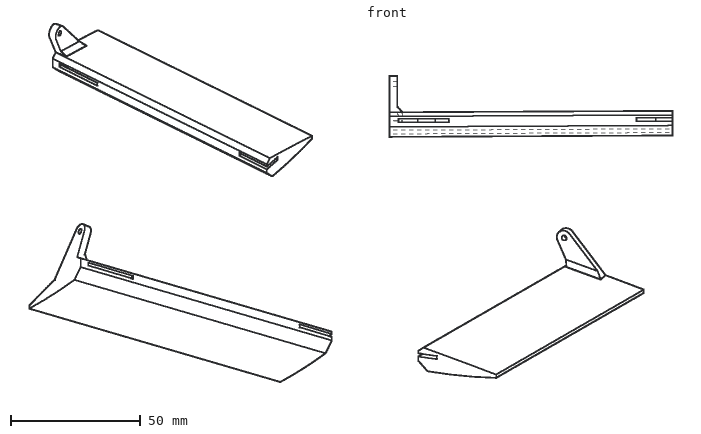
import cadquery as cq
import math

span = 109.0
sweep = 17.4
rise = 0.5
root_nose_y = sweep
chord = 32.4
tail_y = root_nose_y + chord
tail_bottom_z = 1.3
tail_top_z = 2.7
belly_mid_y = 33.8
belly_mid_z = 0.1
belly_end_y = 21.4
belly_end_z = 0.05
nose_bottom_z = 3.9
nose_top_z = 8.0
crest_y = 19.6
crest_z = 9.6
back_mid_y = 33.9
back_mid_z = 6.4

horn_thickness = 3.0
horn_radius = 3.0
horn_height = 23.5
horn_eye_y = 17.9
horn_eye_z = horn_height - horn_radius
horn_hole_diameter = 2.0
gusset_size = 2.0
gusset_depth = 2.2

pocket_starts = (3.4, 94.9)
pocket_length = 19.6
pocket_height = 1.3
pocket_straight = 1.3
pocket_taper = 6.4
pocket_root_z = 6.3
mouth_overrun = 1.1


def blade_section(x):
    """Closed blade outline in the plane at the given X."""
    dy = -sweep * x / span
    dz = rise * x / span

    def at(y, z):
        return (y + dy, z + dz)

    outline = (
        cq.Workplane("YZ", origin=(x, 0, 0))
        .moveTo(*at(tail_y, tail_bottom_z))
        .threePointArc(at(belly_mid_y, belly_mid_z), at(belly_end_y, belly_end_z))
        .lineTo(*at(root_nose_y, nose_bottom_z))
        .lineTo(*at(root_nose_y, nose_top_z))
        .lineTo(*at(crest_y, crest_z))
        .threePointArc(at(back_mid_y, back_mid_z), at(tail_y, tail_top_z))
        .close()
    )
    return outline.val()


def make_blade():
    return cq.Workplane(cq.Solid.makeLoft([blade_section(0), blade_section(span)], True))


def eye_tangent(y, z, side):
    """Point where a line from (y, z) touches the horn eye; side is +1 or -1."""
    distance = math.hypot(y - horn_eye_y, z - horn_eye_z)
    angle = math.atan2(z - horn_eye_z, y - horn_eye_y)
    angle += side * math.acos(horn_radius / distance)
    return (horn_eye_y + horn_radius * math.cos(angle), horn_eye_z + horn_radius * math.sin(angle))


def horn_prism(thickness):
    """Horn outline from the blade back up around the eye, extruded from the root."""
    return (
        cq.Workplane("YZ")
        .moveTo(crest_y, crest_z)
        .lineTo(*eye_tangent(crest_y, crest_z, -1))
        .threePointArc(
            (horn_eye_y, horn_height),
            eye_tangent(back_mid_y, back_mid_z, 1),
        )
        .lineTo(back_mid_y, back_mid_z)
        .lineTo(belly_mid_y, tail_top_z)
        .lineTo(crest_y, nose_bottom_z)
        .close()
        .extrude(thickness)
    )


def make_gusset():
    """45 degree web along the inner foot of the horn, following the blade back."""
    back_slope = (crest_z - back_mid_z) / (back_mid_y - crest_y)

    def gusset_profile(y, surface_z):
        x = horn_thickness
        return cq.Wire.makePolygon(
            [
                cq.Vector(x, y, surface_z + gusset_size),
                cq.Vector(x + gusset_size + gusset_depth, y, surface_z - gusset_depth),
                cq.Vector(x, y, surface_z - gusset_depth),
            ],
            close=True,
        )

    front = gusset_profile(crest_y - gusset_size, crest_z + back_slope * gusset_size)
    back = gusset_profile(back_mid_y + gusset_size, back_mid_z - back_slope * gusset_size)
    ridge = cq.Workplane(cq.Solid.makeLoft([front, back], True))
    return ridge.intersect(horn_prism(horn_thickness + gusset_size))


def make_pocket(start_x):
    """Hinge pocket square to the nose face: short end walls, then a 45 degree taper."""
    depth = pocket_straight + pocket_taper
    z = pocket_root_z + rise * start_x / span
    nose_y = root_nose_y - sweep * start_x / span
    nose_plane = cq.Plane(origin=(start_x, nose_y, z), xDir=(span, -sweep, 0), normal=(0, 0, 1))
    return (
        cq.Workplane(nose_plane)
        .polyline(
            [
                (0, -mouth_overrun),
                (pocket_length, -mouth_overrun),
                (pocket_length, pocket_straight),
                (pocket_length - pocket_taper, depth),
                (pocket_taper, depth),
                (0, pocket_straight),
            ]
        )
        .close()
        .extrude(pocket_height / 2, both=True)
    )


result = make_blade().union(horn_prism(horn_thickness)).union(make_gusset())

horn_hole = (
    cq.Workplane("YZ")
    .center(horn_eye_y, horn_eye_z)
    .circle(horn_hole_diameter / 2)
    .extrude(horn_thickness)
)
result = result.cut(horn_hole)

for pocket_start in pocket_starts:
    result = result.cut(make_pocket(pocket_start))